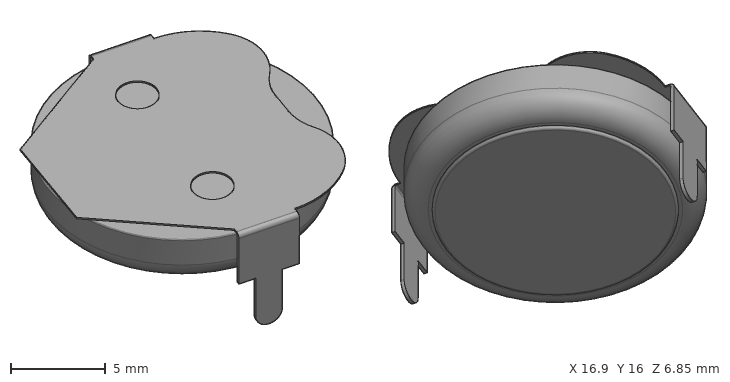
import cadquery as cq
import math


CELL_DIAMETER = 16.0
CELL_GAP = 0.25
CAN_HEIGHT = 3.0
CAN_BOTTOM_RADIUS = 1.28
CAN_TOP_RADIUS = 0.05
CAP_DIAMETER = 13.01
CAP_HEIGHT = 0.2
CAP_EDGE_RADIUS = 0.15

PLATE_THICKNESS = 0.1
PLATE_HALF_WIDTH = 7.93
FRONT_EDGE_HALF_WIDTH = 3.18
FRONT_EDGE_Y = -CELL_DIAMETER / 2
LOBE_RADIUS = 3.05
LOBE_X = 4.25
LOBE_TOP_Y = 7.1
HOLLOW_Y = 5.98
HOLE_DIAMETER = 2.3
HOLE_X = 4.22
HOLE_Y = -0.44

CLIP_WIDTH = 16.9
CLIP_HEIGHT = 6.85
LEG_THICKNESS = 0.2
LEG_CENTER_Y = 0.71
LEG_WIDTH = 3.62
SHOULDER_DEPTH = 3.41
PIN_WIDTH = 1.59
BEND_OUTER_RADIUS = 0.27
BEND_INNER_RADIUS = 0.08

LEG_BACK_Y = LEG_CENTER_Y + LEG_WIDTH / 2
LEG_FRONT_Y = LEG_CENTER_Y - LEG_WIDTH / 2
LOBE_Y = LOBE_TOP_Y - LOBE_RADIUS
CLIP_HALF_WIDTH = CLIP_WIDTH / 2
CELL_TOP_Z = -PLATE_THICKNESS - CELL_GAP


def make_cell():
    """Round can with a rounded lower edge and a smaller cap beneath it."""
    can = (
        cq.Workplane("XY", origin=(0, 0, CELL_TOP_Z - CAN_HEIGHT))
        .circle(CELL_DIAMETER / 2)
        .extrude(CAN_HEIGHT)
        .faces("<Z").edges().fillet(CAN_BOTTOM_RADIUS)
        .faces(">Z").edges().fillet(CAN_TOP_RADIUS)
    )
    cap = (
        cq.Workplane("XY", origin=(0, 0, CELL_TOP_Z - CAN_HEIGHT - CAP_HEIGHT))
        .circle(CAP_DIAMETER / 2)
        .extrude(CAP_HEIGHT)
        .faces("<Z").edges().fillet(CAP_EDGE_RADIUS)
    )
    return can.union(cap)


def on_circle(center, radius, angle):
    return (center[0] + radius * math.cos(angle), center[1] + radius * math.sin(angle))


def mirrored(point):
    return (-point[0], point[1])


def make_plate():
    """Flat plate with two rear lobes, a hollow between them and a tapered front."""
    lobe = (LOBE_X, LOBE_Y)

    inset = PLATE_HALF_WIDTH - LOBE_X
    rise = LOBE_Y - LEG_BACK_Y
    side_radius = (inset**2 + rise**2 - LOBE_RADIUS**2) / (2 * (inset - LOBE_RADIUS))
    side = (PLATE_HALF_WIDTH - side_radius, LEG_BACK_Y)
    side_angle = math.atan2(LOBE_Y - side[1], LOBE_X - side[0])

    turn = math.acos(1 - (LOBE_TOP_Y - HOLLOW_Y) / (2 * LOBE_RADIUS))
    hollow = (LOBE_X - 2 * LOBE_RADIUS * math.sin(turn), HOLLOW_Y + LOBE_RADIUS)

    side_start = (PLATE_HALF_WIDTH, LEG_BACK_Y)
    side_mid = on_circle(side, side_radius, side_angle / 2)
    side_end = on_circle(lobe, LOBE_RADIUS, side_angle)
    lobe_top = (LOBE_X, LOBE_TOP_Y)
    lobe_end = on_circle(lobe, LOBE_RADIUS, math.pi / 2 + turn)
    hollow_mid = on_circle(hollow, LOBE_RADIUS, -math.pi / 2 + turn / 2)
    hollow_end = (hollow[0], HOLLOW_Y)

    outline = (
        cq.Workplane("XY")
        .moveTo(FRONT_EDGE_HALF_WIDTH, FRONT_EDGE_Y)
        .lineTo(PLATE_HALF_WIDTH, LEG_FRONT_Y)
        .lineTo(*side_start)
        .threePointArc(side_mid, side_end)
        .threePointArc(lobe_top, lobe_end)
        .threePointArc(hollow_mid, hollow_end)
        .lineTo(*mirrored(hollow_end))
        .threePointArc(mirrored(hollow_mid), mirrored(lobe_end))
        .threePointArc(mirrored(lobe_top), mirrored(side_end))
        .threePointArc(mirrored(side_mid), mirrored(side_start))
        .lineTo(-PLATE_HALF_WIDTH, LEG_FRONT_Y)
        .lineTo(-FRONT_EDGE_HALF_WIDTH, FRONT_EDGE_Y)
        .close()
    )
    holes = (
        cq.Workplane("XY")
        .pushPoints([(-HOLE_X, HOLE_Y), (HOLE_X, HOLE_Y)])
        .circle(HOLE_DIAMETER / 2)
        .extrude(-PLATE_THICKNESS)
    )
    return outline.extrude(-PLATE_THICKNESS).cut(holes)


def make_leg_band():
    """Bent strip in the +X leg: a short flat part, the bend and the full-length leg."""
    leg_inner_x = CLIP_HALF_WIDTH - LEG_THICKNESS
    band = (
        cq.Workplane("XZ", origin=(0, LEG_BACK_Y, 0))
        .moveTo(PLATE_HALF_WIDTH, 0)
        .lineTo(CLIP_HALF_WIDTH, 0)
        .lineTo(CLIP_HALF_WIDTH, -CLIP_HEIGHT)
        .lineTo(leg_inner_x, -CLIP_HEIGHT)
        .lineTo(leg_inner_x, -PLATE_THICKNESS)
        .lineTo(PLATE_HALF_WIDTH, -PLATE_THICKNESS)
        .close()
        .extrude(LEG_WIDTH)
    )
    outer_corner = cq.selectors.NearestToPointSelector((CLIP_HALF_WIDTH, LEG_CENTER_Y, 0))
    inner_corner = cq.selectors.NearestToPointSelector((leg_inner_x, LEG_CENTER_Y, -PLATE_THICKNESS))
    band = band.edges("|Y").edges(outer_corner).fillet(BEND_OUTER_RADIUS)
    return band.edges("|Y").edges(inner_corner).fillet(BEND_INNER_RADIUS)


def make_leg_shape():
    """Side silhouette of a leg: wide shoulder above a pin with a round tip."""
    shoulder_half = LEG_WIDTH / 2
    pin_half = PIN_WIDTH / 2
    tip_start_z = -CLIP_HEIGHT + pin_half
    return (
        cq.Workplane("YZ", origin=(0, LEG_CENTER_Y, 0))
        .moveTo(-shoulder_half, 0)
        .lineTo(-shoulder_half, -SHOULDER_DEPTH)
        .lineTo(-pin_half, -SHOULDER_DEPTH)
        .lineTo(-pin_half, tip_start_z)
        .threePointArc((0, -CLIP_HEIGHT), (pin_half, tip_start_z))
        .lineTo(pin_half, -SHOULDER_DEPTH)
        .lineTo(shoulder_half, -SHOULDER_DEPTH)
        .lineTo(shoulder_half, 0)
        .close()
        .extrude(CLIP_HALF_WIDTH)
    )


def make_clip():
    """Sheet-metal clip: the plate with a bent leg on each side."""
    leg = make_leg_band().intersect(make_leg_shape())
    return make_plate().union(leg).union(leg.mirror("YZ"))


cell = make_cell()
clip = make_clip()
result = cq.Compound.makeCompound([cell.val(), clip.val()])